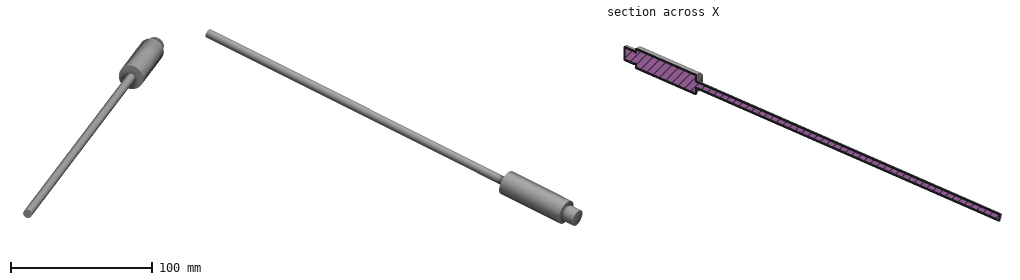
import cadquery as cq

total_length = 322.0
head_length = 9.0
neck_length = 1.0
body_length = 52.0

rod_diameter = 6.5
body_diameter = 18.0
head_diameter = 12.2

head_bevel = 0.5
neck_diameter = head_diameter - 2 * head_bevel

rod_tip_y = -total_length / 2
head_top_y = total_length / 2
head_underside_y = head_top_y - head_length
body_top_y = head_underside_y - neck_length
body_bottom_y = body_top_y - body_length

half_profile = (
    cq.Workplane("XY")
    .moveTo(0, rod_tip_y)
    .lineTo(rod_diameter / 2, rod_tip_y)
    .lineTo(rod_diameter / 2, body_bottom_y)
    .lineTo(body_diameter / 2, body_bottom_y)
    .lineTo(body_diameter / 2, body_top_y)
    .lineTo(neck_diameter / 2, body_top_y)
    .lineTo(neck_diameter / 2, head_underside_y)
    .lineTo(head_diameter / 2, head_underside_y + head_bevel)
    .lineTo(head_diameter / 2, head_top_y)
    .lineTo(0, head_top_y)
    .close()
)
result = half_profile.revolve(360, (0, 0, 0), (0, 1, 0))